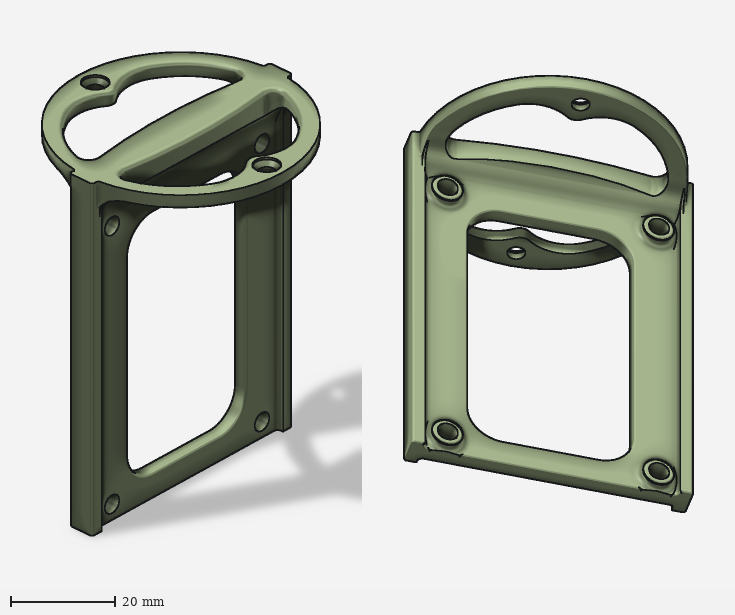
import cadquery as cq
import math

HEIGHT = 78.9
FRAME_WIDTH = 56.2
DISC_RADIUS = 26.7
DISC_THICKNESS = 3.0
EDGE_ROUND = 0.5

RAIL_DEPTH = 6.0
RAIL_WIDTH = 2.7
RAIL_ROUND = 0.6
RAIL_BLEND = 4.7
WEB_THICKNESS = 3.15
RAIL_ROOT_RADIUS = 0.95
CROWN_RADIUS = 7.5

WINDOW_WIDTH = 33.0
WINDOW_TOP = 15.0
WINDOW_BOTTOM = 73.15
WINDOW_CORNER = 7.0

BOSS_SPACING = 42.05
BOSS_TOP_DEPTH = 13.0
BOSS_BOTTOM_DEPTH = 75.1
BOSS_REACH = 3.5
BOSS_RADIUS = 3.1
BOSS_FLARE = 1.7
BOSS_ROUND = 0.5
BOSS_HOLE = 4.0

OPENING_RADIUS = 21.85
OPENING_SHIFT = 1.1
TOP_ROUND = 1.0
BRIDGE_HALF_WIDTH = 4.9
BRIDGE_ARC_RADIUS = 134.1
BRIDGE_CORNER = 2.4
LUG_RADIUS = 2.4
LUG_OFFSET = 20.2
LUG_BLEND = 9.5
SCREW_OFFSET = 22.5
SCREW_HOLE = 3.5
SCREW_HEAD = 5.5
SCREW_HEAD_DEPTH = 0.5

MARGIN = 0.8
ARC_MID = 1 - math.sqrt(0.5)
SIDES = (-1, 1)
web_half = WEB_THICKNESS / 2
rail_half = RAIL_DEPTH / 2
crown_depth = DISC_THICKNESS + CROWN_RADIUS
sweep_x = web_half + CROWN_RADIUS
rail_inner_y = FRAME_WIDTH / 2 - RAIL_WIDTH


def make_frame():
    """Plate as deep as the rails, recessed on both faces between them."""
    frame = cq.Workplane("XY").box(RAIL_DEPTH, FRAME_WIDTH, HEIGHT, centered=(True, True, False))
    frame = frame.translate((0, 0, -HEIGHT))
    frame = frame.edges("|Z").fillet(RAIL_ROUND)
    recess_depth = rail_half - web_half
    for side in SIDES:
        recess = cq.Workplane("XY").box(recess_depth, 2 * rail_inner_y, HEIGHT, centered=(True, True, False))
        recess = recess.edges("|Z").edges("<X").fillet(RAIL_ROOT_RADIUS)
        if side < 0:
            recess = recess.mirror("YZ")
        frame = frame.cut(recess.translate((side * (web_half + recess_depth / 2), 0, -HEIGHT)))
    return frame.faces("<Z").edges().fillet(EDGE_ROUND)


def make_shoulder(side):
    """Pair of small sweeps easing the crown's large round into the rail faces on one side."""
    center_x = rail_half + RAIL_BLEND
    center_gap = CROWN_RADIUS - RAIL_BLEND
    tilt = math.acos((sweep_x - center_x) / center_gap)
    foot_z = center_gap * math.sin(tilt) - crown_depth
    tangent_x = center_x - RAIL_BLEND * math.cos(tilt)
    tangent_z = foot_z + RAIL_BLEND * math.sin(tilt)
    mid_x = center_x - RAIL_BLEND * math.cos(tilt / 2)
    mid_z = foot_z + RAIL_BLEND * math.sin(tilt / 2)
    profile = (
        cq.Workplane("XZ")
        .moveTo(0, -DISC_THICKNESS)
        .lineTo(side * tangent_x, -DISC_THICKNESS)
        .lineTo(side * tangent_x, tangent_z)
        .threePointArc((side * mid_x, mid_z), (side * rail_half, foot_z))
        .lineTo(0, foot_z)
        .close()
        .extrude(DISC_RADIUS, both=True)
    )
    gap = cq.Workplane("XY").box(FRAME_WIDTH, 2 * rail_inner_y, HEIGHT)
    inside_rim = cq.Workplane("XY").circle(DISC_RADIUS - EDGE_ROUND).extrude(-crown_depth)
    return profile.cut(gap).intersect(inside_rim)


def make_crown():
    """Disc that sweeps down into the web with a large round on each side."""
    overhang = DISC_RADIUS + MARGIN
    bend = CROWN_RADIUS * ARC_MID
    profile = (
        cq.Workplane("XZ")
        .moveTo(-overhang, 0)
        .lineTo(overhang, 0)
        .lineTo(overhang, -DISC_THICKNESS)
        .lineTo(sweep_x, -DISC_THICKNESS)
        .threePointArc((web_half + bend, -DISC_THICKNESS - bend), (web_half, -crown_depth))
        .lineTo(-web_half, -crown_depth)
        .threePointArc((-web_half - bend, -DISC_THICKNESS - bend), (-sweep_x, -DISC_THICKNESS))
        .lineTo(-overhang, -DISC_THICKNESS)
        .close()
        .extrude(overhang, both=True)
    )
    disc = cq.Workplane("XY").circle(DISC_RADIUS).extrude(-crown_depth)
    crown = profile.intersect(disc)
    rim = crown.edges("%BSPLINE or (%CIRCLE and (not >Z) and (not <Z))")
    return rim.fillet(EDGE_ROUND)


def blend_rails(body):
    """Soften the corners where the disc and its sweeps run into the rails."""
    corner_zone = cq.selectors.BoxSelector(
        (-rail_half - MARGIN, -DISC_RADIUS, -DISC_THICKNESS), (rail_half + MARGIN, DISC_RADIUS, -MARGIN)
    )
    body = body.edges("|Z").edges(corner_zone).fillet(EDGE_ROUND)
    for side in SIDES:
        body = body.union(make_shoulder(side))
    return body


def make_post(x, y, radius):
    """Upright cylinder reaching from the top face to the foot of the crown."""
    return cq.Workplane("XY").center(x, y).circle(radius).extrude(-crown_depth)


def make_opening(side):
    """Half-moon cutter with a notch for the screw lug and a bowed inner wall."""
    outer = make_post(0, OPENING_SHIFT, OPENING_RADIUS).union(make_post(0, -OPENING_SHIFT, OPENING_RADIUS))
    bridge = make_post(side * (BRIDGE_HALF_WIDTH - BRIDGE_ARC_RADIUS), 0, BRIDGE_ARC_RADIUS)
    lug = make_post(side * LUG_OFFSET, 0, LUG_RADIUS)
    opening = outer.cut(bridge).cut(lug)
    nearest, farthest = ("<X", ">X") if side > 0 else (">X", "<X")
    opening = opening.edges("|Z").edges(nearest).fillet(BRIDGE_CORNER)
    return opening.edges("|Z").edges(farthest).fillet(LUG_BLEND)


def make_screw_cutter():
    """Screw hole with a shallow cylindrical head seat that tapers at 45 degrees into the hole."""
    hole_radius = SCREW_HOLE / 2
    head_radius = SCREW_HEAD / 2
    return (
        cq.Workplane("XZ")
        .lineTo(head_radius, 0)
        .lineTo(head_radius, -SCREW_HEAD_DEPTH)
        .lineTo(hole_radius, -SCREW_HEAD_DEPTH - (head_radius - hole_radius))
        .lineTo(hole_radius, -crown_depth)
        .lineTo(0, -crown_depth)
        .close()
        .revolve(360, (0, 0, 0), (0, 1, 0))
    )


def pierce_disc(body):
    """Cut both openings with rounded top edges, then the screw holes."""
    for side in SIDES:
        body = body.cut(make_opening(side))
    top_edges = [edge for wire in body.faces(">Z").val().innerWires() for edge in wire.Edges()]
    body = body.newObject(top_edges).fillet(TOP_ROUND)
    for side in SIDES:
        body = body.cut(make_screw_cutter().translate((side * SCREW_OFFSET, 0, 0)))
    return body


def cut_window(body):
    """Cut the rounded window through the web and round its edges on both faces."""
    window_height = WINDOW_BOTTOM - WINDOW_TOP
    window = (
        cq.Workplane("YZ")
        .center(0, -(WINDOW_TOP + WINDOW_BOTTOM) / 2)
        .rect(WINDOW_WIDTH, window_height)
        .extrude(RAIL_DEPTH, both=True)
        .edges("|X")
        .fillet(WINDOW_CORNER)
    )
    body = body.cut(window)
    reach_y = WINDOW_WIDTH / 2 + MARGIN
    for side in SIDES:
        rim = cq.selectors.BoxSelector(
            (side * MARGIN, -reach_y, -WINDOW_BOTTOM - MARGIN),
            (side * rail_half, reach_y, -WINDOW_TOP + MARGIN),
        )
        body = body.edges(rim).fillet(EDGE_ROUND)
    return body


def make_boss():
    """Round boss standing out along -X, with a concave flare at its foot."""
    flare_mid = BOSS_FLARE * ARC_MID
    round_mid = BOSS_ROUND * ARC_MID
    foot_radius = BOSS_RADIUS + BOSS_FLARE
    return (
        cq.Workplane("XY")
        .lineTo(-BOSS_REACH, 0)
        .lineTo(-BOSS_REACH, BOSS_RADIUS - BOSS_ROUND)
        .threePointArc(
            (-BOSS_REACH + round_mid, BOSS_RADIUS - round_mid), (-BOSS_REACH + BOSS_ROUND, BOSS_RADIUS)
        )
        .lineTo(-web_half - BOSS_FLARE, BOSS_RADIUS)
        .threePointArc((-web_half - flare_mid, BOSS_RADIUS + flare_mid), (-web_half, foot_radius))
        .lineTo(0, foot_radius)
        .close()
        .revolve(360, (0, 0, 0), (1, 0, 0))
    )


def add_bosses(body):
    """Add the four drilled bosses, the lower pair trimmed flush with the frame's lower end."""
    envelope = cq.Workplane("XY").box(2 * BOSS_REACH, FRAME_WIDTH, HEIGHT).translate((0, 0, -HEIGHT / 2))
    for side in SIDES:
        for depth in (BOSS_TOP_DEPTH, BOSS_BOTTOM_DEPTH):
            y = side * BOSS_SPACING / 2
            boss = make_boss().translate((0, y, -depth)).intersect(envelope)
            hole = cq.Workplane("YZ").center(y, -depth).circle(BOSS_HOLE / 2).extrude(RAIL_DEPTH, both=True)
            body = body.union(boss).cut(hole)
    return body


result = blend_rails(make_frame().union(make_crown()))
result = pierce_disc(result)
result = cut_window(result)
result = add_bosses(result)